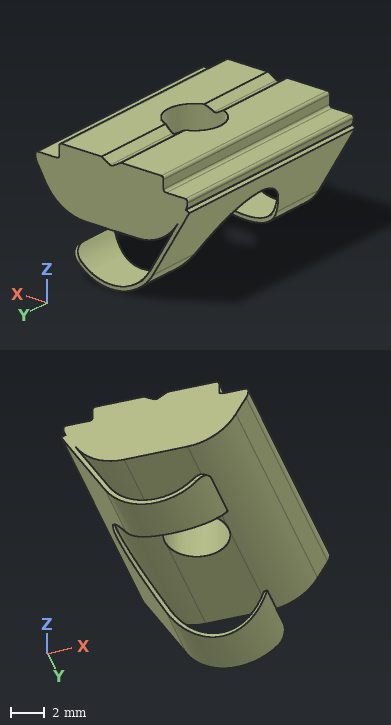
import cadquery as cq
import math

length = 16.0
half_length = length / 2
boss_half_width = 3.97
boss_height = 1.0
body_half_width = 5.8
body_height = 4.6
flank_angle = math.radians(60)
flank_top_radius = 1.0
flank_bottom_radius = 3.5
edge_radius = 0.2
groove_half_width = 0.74
groove_angle = math.radians(30)
groove_radius = 0.2
hole_diameter = 4.0

spring_thickness = 0.3
spring_radius = 3.68
spring_bottom_z = -8.46
leg_top_z = -1.85
tongue_corner_radius = 1.0

tongue_center_z = spring_bottom_z + spring_radius
tongue_inner_radius = spring_radius - spring_thickness

clearance_diameter = 10.0


def extrude_along_y(profile):
    return profile.extrude(half_length, both=True)


def flank_offset(z):
    """Distance from the YZ plane to the flank, which is tangent to the inside of the tongue."""
    return (tongue_inner_radius + (z - tongue_center_z) * math.cos(flank_angle)) / math.sin(flank_angle)


def make_body():
    flank_top_z = -body_height + (body_half_width - flank_offset(-body_height)) * math.tan(flank_angle)
    corners = [
        (boss_half_width, 0, edge_radius),
        (boss_half_width, -boss_height, edge_radius),
        (body_half_width, -boss_height, edge_radius),
        (body_half_width, flank_top_z, flank_top_radius),
        (flank_offset(-body_height), -body_height, flank_bottom_radius),
    ]
    right_half = [(x, z) for x, z, _ in corners]
    left_half = [(-x, z) for x, z in reversed(right_half)]
    body = extrude_along_y(cq.Workplane("XZ").polyline(right_half + left_half).close())
    for x, z, radius in corners:
        for side in (-1, 1):
            edge = cq.selectors.NearestToPointSelector((side * x, 0, z))
            body = body.edges("|Y").edges(edge).fillet(radius)
    return body


def make_groove():
    depth = groove_half_width * math.tan(groove_angle)
    profile = (
        cq.Workplane("XZ")
        .moveTo(-groove_half_width, 0)
        .lineTo(groove_half_width, 0)
        .lineTo(0, -depth)
        .close()
    )
    return extrude_along_y(profile).edges("|Y and <Z").fillet(groove_radius)


def make_spring():
    cos_flank = math.cos(flank_angle)
    sin_flank = math.sin(flank_angle)

    def on_tongue(radius, side):
        return (side * radius * sin_flank, tongue_center_z - radius * cos_flank)

    def up_leg(point, distance):
        return (point[0] - distance * cos_flank, point[1] + distance * sin_flank)

    leg_length = (leg_top_z - on_tongue(spring_radius, -1)[1]) / sin_flank
    leg_outer_top = up_leg(on_tongue(spring_radius, -1), leg_length)
    leg_inner_top = up_leg(on_tongue(tongue_inner_radius, -1), leg_length)
    profile = (
        cq.Workplane("XZ")
        .moveTo(*leg_outer_top)
        .lineTo(*on_tongue(spring_radius, -1))
        .threePointArc((0, spring_bottom_z), on_tongue(spring_radius, 1))
        .lineTo(*on_tongue(tongue_inner_radius, 1))
        .threePointArc((0, tongue_center_z - tongue_inner_radius), on_tongue(tongue_inner_radius, -1))
        .lineTo(*leg_inner_top)
        .close()
    )
    spring = extrude_along_y(profile)

    tip_radius = (spring_radius + tongue_inner_radius) / 2
    tip_x, tip_z = on_tongue(tip_radius, 1)
    for y in (-half_length, half_length):
        corner = cq.selectors.NearestToPointSelector((tip_x, y, tip_z))
        spring = spring.edges(corner).fillet(tongue_corner_radius)
    return spring.cut(make_vertical_cylinder(clearance_diameter, spring_bottom_z))


def make_vertical_cylinder(diameter, bottom_z):
    return cq.Workplane("XY").circle(diameter / 2).extrude(bottom_z)


hole = make_vertical_cylinder(hole_diameter, -body_height)
result = make_body().cut(make_groove()).cut(hole).union(make_spring())